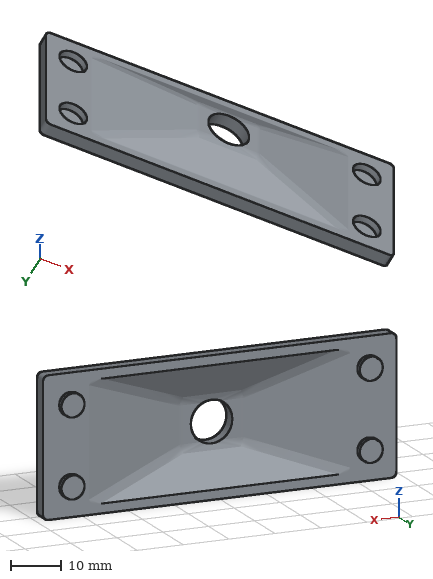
import cadquery as cq
import math

plate_length = 77.0
plate_height = 30.0
plate_thickness = 3.0
plate_corner_radius = 1.15

base_length = 56.8
base_height = 25.9
top_length = 13.4
top_height = 10.0
pyramid_rise = 4.0
pyramid_edge_radius = 4.0
pyramid_foot_radius = 0.4
bore_diameter = 9.0

station_spacing_x = 65.0
station_spacing_z = 17.0
recess_mouth_diameter = 6.1
recess_floor_diameter = 5.6
recess_depth = 1.55
peg_diameter = 5.0
peg_length = 1.15


def front_plane(y):
    """XZ workplane at the given Y; its normal points toward -Y."""
    return cq.Workplane("XZ", origin=(0, y, 0))


def make_plate():
    plate = front_plane(0).rect(plate_length, plate_height).extrude(plate_thickness)
    return plate.edges("|Y").fillet(plate_corner_radius)


def make_pyramid(base_y):
    """Truncated pyramid rising toward -Y from base_y, with its hip and top edges rounded."""
    pyramid = (
        front_plane(base_y)
        .rect(base_length, base_height)
        .workplane(offset=pyramid_rise)
        .rect(top_length, top_height)
        .loft(ruled=True)
    )
    return pyramid.edges("not(>Y)").fillet(pyramid_edge_radius)


def at_stations(workplane):
    return workplane.rarray(station_spacing_x, station_spacing_z, 2, 2)


def make_pegs():
    return at_stations(front_plane(peg_length)).circle(peg_diameter / 2).extrude(peg_length)


def make_recesses():
    """Tapered blind recesses, narrowing from the front face to the floor."""
    taper = math.degrees(math.atan2((recess_mouth_diameter - recess_floor_diameter) / 2, recess_depth))
    mouth = at_stations(front_plane(-plate_thickness)).circle(recess_mouth_diameter / 2)
    return mouth.extrude(-recess_depth, taper=taper)


def make_bore():
    return front_plane(0).circle(bore_diameter / 2).extrude(plate_thickness + pyramid_rise)


def make_cover():
    """Plate and pyramid joined, with a small fillet all around the foot of the pyramid."""
    cover = make_plate().union(make_pyramid(-plate_thickness))
    margin = 0.8
    half_slice = 0.01
    foot_zone = cq.selectors.BoxSelector(
        (-base_length / 2 - margin, -plate_thickness - half_slice, -base_height / 2 - margin),
        (base_length / 2 + margin, -plate_thickness + half_slice, base_height / 2 + margin),
        boundingbox=True,
    )
    return cover.edges(foot_zone).fillet(pyramid_foot_radius)


result = (
    make_cover()
    .cut(make_pyramid(0))
    .union(make_pegs())
    .cut(make_recesses())
    .cut(make_bore())
)